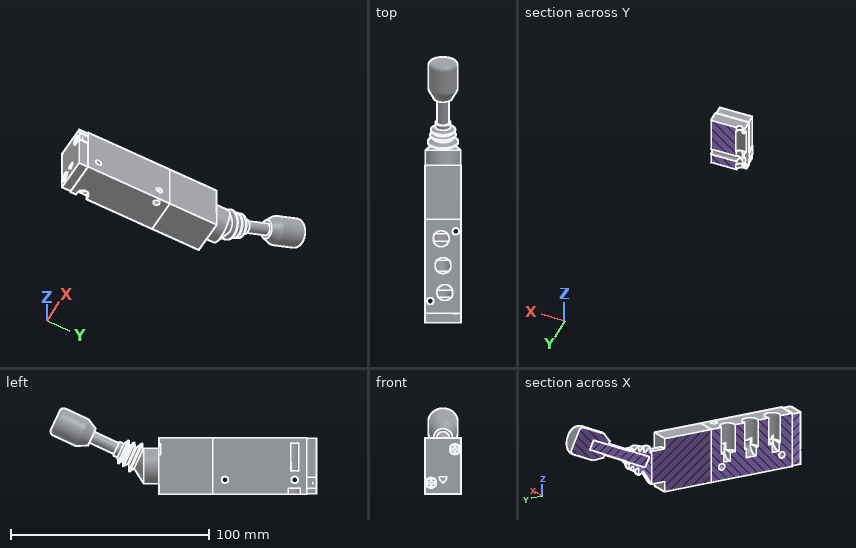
import cadquery as cq
import math


WIDTH = 18.4
HEIGHT = 28.7
MID_Z = HEIGHT / 2
CAP_LENGTH = 5.0
BODY_END = 52.4
HOUSING_END = 79.5

CAP_INSET = 0.34
CAP_TOP = HEIGHT - CAP_INSET
PAD_HEIGHT = 5.6
SCREW_X = 6.0
SCREW_Z = 8.5
SCREW_POINTS = [(SCREW_X, MID_Z + SCREW_Z), (-SCREW_X, MID_Z - SCREW_Z)]
HEAD_RADIUS = 2.4
HEAD_LENGTH = 2.0
COUNTERBORE_RADIUS = 2.7
SHANK_RADIUS = 1.6
SHANK_END = 7.8
CROSS_LENGTH = 3.1
CROSS_WIDTH = 0.8
CROSS_DEPTH = 0.8
ARROW_HALF_WIDTH = 1.9
ARROW_TOP = 8.9
ARROW_SHOULDER = 7.9
ARROW_TIP = 5.6
ARROW_DEPTH = 0.1
PRY_WIDTH = 2.0
PRY_X = 6.3
PRY_DEPTH = 0.4

PORT_RADIUS = 4.0
PORT_MID_Y = 28.9
PORT_PITCH = 13.5
PORT_OFFSET_X = 1.0
CHAMBER_RADIUS = 4.7
MID_CHAMBER_WIDTH = 5.6
END_CHAMBER_WIDTH = 3.6
END_CHAMBER_PITCH = 14.2

MOUNT_RADIUS = 1.6
MOUNT_FRONT_Y = 11.0
MOUNT_REAR_Y = 46.2
MOUNT_X = 6.5
CROSS_HOLE_Z = 7.4

SLOT_WIDTH = 4.0
SLOT_BOTTOM = 12.0
SLOT_TOP = 25.9
SLOT_DEPTH = 4.5
SLOT_FILLET = 1.3
FOOT_NOTCH_Y = 11.3
FOOT_NOTCH_RADIUS = 3.0
FOOT_NOTCH_HEIGHT = 3.2
REAR_NOTCH_LENGTH = 0.8
REAR_NOTCH_HEIGHT = 5.8
REAR_NOTCH_DEPTH = 0.4

NOSE_RADIUS = 9.0
NOSE_END = 87.2

PIVOT_Y = 82.2
LEVER_TILT = 25
LEVER_RADIUS = 3.1
LEVER_START = 8.5
LEVER_END = 44.3

NECK_RADIUS = 5.4
COLLAR_RADIUS = 3.9
COLLAR_START = 18.4
COLLAR_END = 20.8
FOLD_FLAT = 0.5
BELLOWS = [(10.1, 7.8), (12.1, 4.7), (14.0, 6.6), (15.3, 4.5), (16.8, 6.3)]

KNOB_RADIUS = 7.5
KNOB_START = 34.4
KNOB_SHOULDER = 39.6
KNOB_END = 54.8
KNOB_NECK_RADIUS = 4.7
KNOB_TOP_FILLET = 2.3
KNOB_SHOULDER_FILLET = 2.0

tilt = math.radians(LEVER_TILT)
lever_plane = cq.Plane(
    origin=(0, PIVOT_Y, MID_Z),
    xDir=(1, 0, 0),
    normal=(0, math.cos(tilt), math.sin(tilt)),
)


def block(width, start_y, end_y, bottom_z, top_z, centre_x=0):
    """Box given by its width and centre in X and its limits in Y and Z."""
    size = (width, end_y - start_y, top_z - bottom_z)
    corner = (centre_x - width / 2, start_y, bottom_z)
    return cq.Workplane("XY").box(*size, centered=False).translate(corner)


def rod_y(radius, start_y, end_y, x=0, z=MID_Z):
    """Cylinder along Y."""
    start = cq.Vector(x, start_y, z)
    return cq.Workplane(cq.Solid.makeCylinder(radius, end_y - start_y, start, cq.Vector(0, 1, 0)))


def rod_z(radius, bottom_z, top_z, x, y):
    """Cylinder along Z."""
    start = cq.Vector(x, y, bottom_z)
    return cq.Workplane(cq.Solid.makeCylinder(radius, top_z - bottom_z, start))


def rod_lever(radius, start, end):
    """Cylinder along the lever axis."""
    return cq.Workplane(lever_plane).workplane(offset=start).circle(radius).extrude(end - start)


def revolve_upright(points):
    """Solid of revolution about Z from (radius, height) points."""
    return cq.Workplane("XZ").polyline(points).close().revolve(360, (0, 0, 0), (0, 1, 0))


def place_on_lever(upright):
    """Move a solid built along Z from the origin onto the lever axis."""
    return cq.Workplane(upright.val().moved(cq.Location(lever_plane)))


def make_screw(x, z):
    head = rod_y(HEAD_RADIUS, 0, HEAD_LENGTH, x, z)
    shank = rod_y(SHANK_RADIUS, HEAD_LENGTH, SHANK_END, x, z)
    screw = head.union(shank)
    for width, height in [(CROSS_LENGTH, CROSS_WIDTH), (CROSS_WIDTH, CROSS_LENGTH)]:
        screw = screw.cut(block(width, 0, CROSS_DEPTH, z - height / 2, z + height / 2, x))
    return screw


def make_end_cap():
    cap = block(WIDTH - 2 * CAP_INSET, 0, CAP_LENGTH, CAP_INSET, CAP_TOP)
    for x, z in SCREW_POINTS:
        pad_width = WIDTH / 2
        pad_x = math.copysign(pad_width / 2, x)
        pad_bottom = z - PAD_HEIGHT / 2
        cap = cap.union(block(pad_width, 0, CAP_LENGTH, pad_bottom, pad_bottom + PAD_HEIGHT, pad_x))
    for x, z in SCREW_POINTS:
        cap = cap.cut(rod_y(COUNTERBORE_RADIUS, 0, HEAD_LENGTH, x, z))
        cap = cap.cut(rod_y(SHANK_RADIUS, 0, CAP_LENGTH, x, z))
    arrow = (
        cq.Workplane("XZ")
        .polyline([
            (-ARROW_HALF_WIDTH, ARROW_TOP),
            (ARROW_HALF_WIDTH, ARROW_TOP),
            (ARROW_HALF_WIDTH, ARROW_SHOULDER),
            (0, ARROW_TIP),
            (-ARROW_HALF_WIDTH, ARROW_SHOULDER),
        ])
        .close()
        .extrude(-ARROW_DEPTH)
    )
    pry_notch = block(PRY_WIDTH, CAP_LENGTH - PRY_DEPTH, CAP_LENGTH, CAP_TOP - PRY_DEPTH, CAP_TOP, PRY_X)
    return cap.cut(arrow).cut(pry_notch)


def cut_ports(body):
    for side in (-1, 0, 1):
        port_x = -side * PORT_OFFSET_X
        port_y = PORT_MID_Y + side * PORT_PITCH
        body = body.cut(rod_z(PORT_RADIUS, MID_Z, HEIGHT, port_x, port_y))
        chamber_y = PORT_MID_Y + side * END_CHAMBER_PITCH
        width = END_CHAMBER_WIDTH if side else MID_CHAMBER_WIDTH
        body = body.cut(rod_y(CHAMBER_RADIUS, chamber_y - width / 2, chamber_y + width / 2))
    return body


def cut_mounting_holes(body):
    for x, y in [(-MOUNT_X, MOUNT_FRONT_Y), (MOUNT_X, MOUNT_REAR_Y)]:
        cross_hole = (
            cq.Workplane("YZ")
            .center(y, CROSS_HOLE_Z)
            .circle(MOUNT_RADIUS)
            .extrude(WIDTH / 2, both=True)
        )
        body = body.cut(rod_z(MOUNT_RADIUS, 0, HEIGHT, x, y)).cut(cross_hole)
    return body


def cut_side_recesses(body):
    side_x = -WIDTH / 2
    slot = block(
        2 * SLOT_DEPTH,
        MOUNT_FRONT_Y - SLOT_WIDTH / 2,
        MOUNT_FRONT_Y + SLOT_WIDTH / 2,
        SLOT_BOTTOM,
        SLOT_TOP,
        side_x,
    )
    slot = slot.edges("|Z and >X").fillet(SLOT_FILLET)
    straight_depth = SLOT_DEPTH - FOOT_NOTCH_RADIUS
    foot_notch = block(
        2 * straight_depth,
        FOOT_NOTCH_Y - FOOT_NOTCH_RADIUS,
        FOOT_NOTCH_Y + FOOT_NOTCH_RADIUS,
        0,
        FOOT_NOTCH_HEIGHT,
        side_x,
    )
    notch_end = rod_z(FOOT_NOTCH_RADIUS, 0, FOOT_NOTCH_HEIGHT, side_x + straight_depth, FOOT_NOTCH_Y)
    foot_notch = foot_notch.union(notch_end)
    return body.cut(slot).cut(foot_notch)


def make_valve_body():
    body = block(WIDTH, CAP_LENGTH, BODY_END, 0, HEIGHT)
    body = cut_ports(body)
    body = cut_mounting_holes(body)
    body = cut_side_recesses(body)
    for x, z in SCREW_POINTS:
        body = body.cut(rod_y(SHANK_RADIUS, CAP_LENGTH, SHANK_END, x, z))
    return body


def make_housing():
    housing = block(WIDTH, BODY_END, HOUSING_END, 0, HEIGHT)
    notch_z = MID_Z + SCREW_Z
    rear_notch = block(
        2 * REAR_NOTCH_DEPTH,
        HOUSING_END - REAR_NOTCH_LENGTH,
        HOUSING_END,
        notch_z - REAR_NOTCH_HEIGHT / 2,
        notch_z + REAR_NOTCH_HEIGHT / 2,
        -WIDTH / 2,
    )
    return housing.cut(rear_notch).union(rod_y(NOSE_RADIUS, HOUSING_END, NOSE_END))


def make_boot():
    nose_plane = cq.Plane(origin=(0, NOSE_END, MID_Z), xDir=(1, 0, 0), normal=(0, 1, 0))
    nose_circle = cq.Workplane(nose_plane).circle(NOSE_RADIUS).wires().val()
    neck_plane = cq.Workplane(lever_plane).workplane(offset=LEVER_START)
    neck_circle = neck_plane.circle(NECK_RADIUS).wires().val()
    skirt = cq.Workplane(cq.Solid.makeLoft([nose_circle, neck_circle], True))

    profile = [(0, LEVER_START), (NECK_RADIUS, LEVER_START)]
    for position, radius in BELLOWS:
        profile.append((radius, position - FOLD_FLAT / 2))
        profile.append((radius, position + FOLD_FLAT / 2))
    profile += [(COLLAR_RADIUS, COLLAR_START), (COLLAR_RADIUS, COLLAR_END), (0, COLLAR_END)]
    bellows = place_on_lever(revolve_upright(profile))
    return skirt.union(bellows).cut(rod_lever(LEVER_RADIUS, LEVER_START, COLLAR_END))


def make_knob():
    knob = revolve_upright([
        (0, KNOB_START),
        (KNOB_NECK_RADIUS, KNOB_START),
        (KNOB_RADIUS, KNOB_SHOULDER),
        (KNOB_RADIUS, KNOB_END),
        (0, KNOB_END),
    ])
    knob = knob.faces("%CYLINDER").edges("<Z").fillet(KNOB_SHOULDER_FILLET)
    knob = knob.faces(">Z").edges().fillet(KNOB_TOP_FILLET)
    knob = place_on_lever(knob)
    return knob.cut(rod_lever(LEVER_RADIUS, KNOB_START, LEVER_END))


end_cap = make_end_cap()
valve_body = make_valve_body()
housing = make_housing()
boot = make_boot()
lever = rod_lever(LEVER_RADIUS, LEVER_START, LEVER_END)
knob = make_knob()
screws = [make_screw(x, z) for x, z in SCREW_POINTS]

result = cq.Compound.makeCompound([
    end_cap.val(),
    valve_body.val(),
    housing.val(),
    boot.val(),
    lever.val(),
    knob.val(),
    *[screw.val() for screw in screws],
])